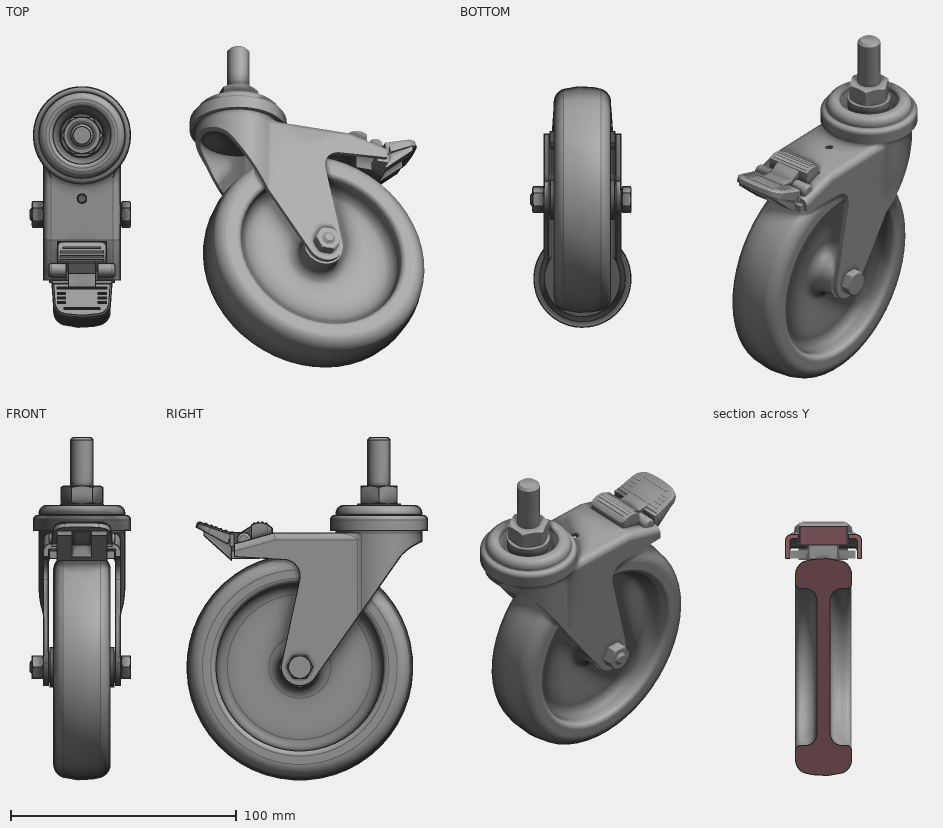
import cadquery as cq
import math


AXLE_Y = -35.0

WHEEL_RADIUS = 50.0
WHEEL_HALF_WIDTH = 12.5
CROWN_HALF_WIDTH = 8.3
SHOULDER_RADIUS = 48.8
TREAD_SIDE_RADIUS = 43.1
RIM_LIP_RADIUS = 39.4
RIM_INNER_RADIUS = 37.1
WEB_FILLET = 5.0
WEB_HALF_WIDTH = 3.0
TREAD_CORNER_MID = (11.3, 46.6)
HUB_RADIUS = 17.45 / 2
HUB_HALF_WIDTH = 14.2
SPACER_RADIUS = 13.45 / 2
WHEEL_BORE = 6.1

FORK_HALF_WIDTH = 17.0
SHEET = 2.2
FORK_INNER_HALF = FORK_HALF_WIDTH - SHEET
FORK_TOP = 59.4
BEND_RADIUS = 3.2
BEND_Y = -46.3
NOSE_SLOPE = math.radians(15.4)
NOSE_END_Y = -64.0
NOSE_BOTTOM = 48.9
LEG_END_RADIUS = 8.2
NOTCH_CORNER = (-33.2, 47.1)
NOTCH_FILLET = 7.4
BACK_RADIUS = 19.0
BACK_BLEND_RADIUS = 4.4
BACK_LIP_Z = 55.6
BACK_CURVE_MID = (14.7, 53.4)
BACK_CURVE_END = (9.9, 49.5)
FORK_AXLE_HOLE = 6.4
TOP_HOLE = 3.5
TOP_HOLE_Y = -28.0
TOP_HOLE_CHAMFER = 0.35

FLANGE_RADIUS = 21.5
FLANGE_BOTTOM = 60.5
FLANGE_EDGE_Z = 65.1
FLANGE_TOP = 67.1
FLANGE_ROUND = 2.0
CAP_RADIUS = 19.0
CAP_TOP = 71.5
CAP_FLAT_RADIUS = 16.0
CAP_ARC_MID = (18.1, 70.3)
NECK_GROOVE = 0.5
CUP_FLOOR_Z = 67.0
CUP_FLOOR_RADIUS = 9.9
CUP_RIM_RADIUS = 12.75
CUP_FLAT_RADIUS = 14.5

STEM_RADIUS = 5.0
STEM_TOP = 101.66
STEM_CHAMFER = 1.1
STEM_COLLAR_RADIUS = 18.9 / 2
HEX_FLATS = 16.0
HEX_BOTTOM = 72.2
HEX_TOP = 80.1

BOLT_RADIUS = 3.0
BOLT_TIP_RADIUS = 3.5 / 2
BOLT_TIP_X = -23.0
BOLT_TIP_CONE = 0.95
BOLT_HEX_FLATS = 10.0
NUT_OUTER_X = -22.0
HEAD_OUTER_X = 21.5
HEAD_FACE = 0.5
HEAD_FACE_RADIUS = 8.4 / 2

KNUCKLE_Y = -59.7
KNUCKLE_Z = 56.3
KNUCKLE_RADIUS = 3.1
KNUCKLE_INNER_X = 7.0
KNUCKLE_OUTER_X = 14.6
KNUCKLE_ROUND = 1.2

CLEARANCE = 0.2
GRIP_HALF_WIDTH = 10.7
GRIP_BACK_Y = -47.2
GRIP_FRONT_Y = -56.4
PEDAL_NECK_HALF_WIDTH = 6.0
LEVER_HALF_WIDTH = 13.2
LEVER_BLOCK_HALF_WIDTH = 11.0
LEVER_POCKET_HALF_WIDTH = 4.3
LEVER_START = (-65.2, 59.2)
LEVER_SLOPE = math.radians(19.5)
LEVER_LENGTH = 15.8
LEVER_THICKNESS = 2.6
LEVER_ROOT_THICKNESS = 5.0
LEVER_CORNER = 6.0
PEDAL_BOTTOM = 47.2
NECK_BOTTOM = 48.0
CROSSBAR_HALF_WIDTH = 14.3
CROSSBAR_TOP = 51.4
GRIP_CORNER = 2.0
GRIP_BOTTOM = 54.0
GRIP_SHOULDER_Z = 61.3
GRIP_CREST = (-51.8, 63.8)
GRIP_FRONT_Z = 62.8
GRIP_RIB_COUNT = 4
GRIP_FIRST_RIB_Y = -49.8
GRIP_RIB_PITCH = 1.8
GRIP_RIB_DROPS = (0.5, 0.0, 0.1, 0.5)
NECK_SADDLE_Y = -61.2
NECK_SADDLE_Z = 59.4
NECK_END_Y = -67.1
PEDAL_BACK_Y = -53.0
LEVER_FRONT_HALF_WIDTH = 12.3
LEVER_NOSE_BULGE = 1.6
LEVER_EDGE_CHAMFER = 0.7
LEVER_LONG_RIBS = ((2.6, 11.0), (12.1, 8.0))
LEVER_SHORT_RIB_DISTANCES = (5.1, 7.25, 9.4)
LEVER_SHORT_RIB_INNER = 7.2
LEVER_SHORT_RIB_OUTER = 10.8
LEVER_TIP_Y = -77.5
LEVER_TIP_Z = 58.3
LEVER_ROOT_HALF_WIDTH = 13.2
LEVER_ROOT_BOTTOM = 53.3
POCKET_SILL = 1.6
POCKET_TOP = 54.0
CROSSBAR_BACK_Y = -60.0
RIB_END_GAP = 1.2
RIB_WIDTH = 0.7
RIB_HEIGHT = 0.4

BIG = 200.0


def slab(outline, half_width):
    """Extrude a closed YZ outline symmetrically about X = 0."""
    return outline.close().extrude(half_width, both=True)


def yz_polygon(points, half_width):
    return slab(cq.Workplane("YZ").polyline(points), half_width)


def x_cylinder(radius, x_start, x_end, y, z):
    return (
        cq.Workplane("YZ", origin=(x_start, y, z)).circle(radius).extrude(x_end - x_start)
    )


def box_between(low, high):
    size = [b - a for a, b in zip(low, high)]
    return cq.Workplane("XY").box(*size, centered=False).translate(low)


def hex_prism(plane, origin, flats, length):
    """Hexagonal prism with lightly coned corners at both ends."""
    corners = flats / math.cos(math.pi / 6)
    cone_limit = (
        cq.Workplane(plane, origin=origin)
        .circle(corners / 2)
        .extrude(length)
        .faces("<Z or >Z" if plane == "XY" else "<X or >X")
        .chamfer((corners - flats) / 4, (corners - flats) / 2)
    )
    prism = cq.Workplane(plane, origin=origin).polygon(6, corners).extrude(length)
    return prism.intersect(cone_limit)


def tangent_point(point, side):
    """Point where a line from `point` touches the leg's end circle; side is +1 or -1."""
    dy = point[0] - AXLE_Y
    dz = point[1]
    turn = side * math.acos(LEG_END_RADIUS / math.hypot(dy, dz))
    angle = math.atan2(dz, dy) + turn
    return (AXLE_Y + LEG_END_RADIUS * math.cos(angle), LEG_END_RADIUS * math.sin(angle))


def fork_block(half_width, back_radius, top_drop, bend_radius, nose_y):
    """Solid block with the fork's plan and top, reaching below the axle."""
    top = FORK_TOP - top_drop
    nose_top = top - (BEND_Y - nose_y) * math.tan(NOSE_SLOPE)
    bottom = -LEG_END_RADIUS * 2
    sides = yz_polygon(
        [(0, bottom), (0, top), (BEND_Y, top), (nose_y, nose_top), (nose_y, bottom)], half_width
    )
    sides = sides.edges(">X or <X").edges("not(|Z)").edges("not <Z").fillet(bend_radius)
    back = cq.Workplane("XY").workplane(offset=bottom).circle(back_radius).extrude(top - bottom)
    return sides.union(back)


def blend_back(block):
    """Blend the round back into the flat sides of the outer block."""
    corner_y = -math.sqrt(BACK_RADIUS**2 - FORK_HALF_WIDTH**2)
    near_corners = cq.selectors.BoxSelector(
        (-BACK_RADIUS, corner_y - CLEARANCE, -BIG), (BACK_RADIUS, corner_y + CLEARANCE, BIG)
    )
    return block.edges("|Z").edges(near_corners).fillet(BACK_BLEND_RADIUS)


def fork_side_limit():
    """Side silhouette of the fork: sloped back, round leg end and wheel notch."""
    back_tangent = tangent_point(BACK_CURVE_END, -1)
    front_tangent = tangent_point(NOTCH_CORNER, 1)
    outline = (
        cq.Workplane("YZ")
        .moveTo(BACK_RADIUS, FLANGE_BOTTOM)
        .lineTo(BACK_RADIUS, BACK_LIP_Z)
        .threePointArc(BACK_CURVE_MID, BACK_CURVE_END)
        .lineTo(*back_tangent)
        .threePointArc((AXLE_Y, -LEG_END_RADIUS), front_tangent)
        .lineTo(*NOTCH_CORNER)
        .lineTo(NOSE_END_Y, NOSE_BOTTOM)
        .lineTo(NOSE_END_Y, FLANGE_BOTTOM)
    )
    solid = slab(outline, BACK_RADIUS)
    corner = cq.selectors.NearestToPointSelector((0, *NOTCH_CORNER))
    return solid.edges("|X").edges(corner).fillet(NOTCH_FILLET)


def swivel_head():
    """Revolved flange, cap and hollow cup above the fork."""
    diagonal = math.sqrt(0.5)
    rim_drop = CUP_FLAT_RADIUS - CUP_RIM_RADIUS
    profile = (
        cq.Workplane("XZ")
        .moveTo(0, FORK_TOP)
        .lineTo(BACK_RADIUS, FORK_TOP)
        .lineTo(BACK_RADIUS, FLANGE_BOTTOM)
        .lineTo(FLANGE_RADIUS, FLANGE_BOTTOM)
        .lineTo(FLANGE_RADIUS, FLANGE_EDGE_Z)
        .threePointArc(
            (FLANGE_RADIUS - FLANGE_ROUND * (1 - diagonal), FLANGE_EDGE_Z + FLANGE_ROUND * diagonal),
            (FLANGE_RADIUS - FLANGE_ROUND, FLANGE_TOP),
        )
        .lineTo(CAP_RADIUS - NECK_GROOVE, FLANGE_TOP)
        .lineTo(CAP_RADIUS - NECK_GROOVE, FLANGE_TOP + NECK_GROOVE)
        .lineTo(CAP_RADIUS, FLANGE_TOP + NECK_GROOVE)
        .threePointArc(CAP_ARC_MID, (CAP_FLAT_RADIUS, CAP_TOP))
        .lineTo(CUP_FLAT_RADIUS, CAP_TOP)
        .threePointArc(
            (CUP_FLAT_RADIUS - rim_drop * diagonal, CAP_TOP - rim_drop * (1 - diagonal)),
            (CUP_RIM_RADIUS, CAP_TOP - rim_drop),
        )
        .lineTo(CUP_FLOOR_RADIUS, CUP_FLOOR_Z)
        .lineTo(0, CUP_FLOOR_Z)
    )
    return profile.close().revolve(360, (0, 0), (0, 1))


def pedal_opening():
    """Opening in the sloped nose for the pedal's grip and neck."""
    grip_half = GRIP_HALF_WIDTH + CLEARANCE
    grip_gap = box_between(
        (-grip_half, GRIP_FRONT_Y - CLEARANCE, NOSE_BOTTOM),
        (grip_half, GRIP_BACK_Y + CLEARANCE, FLANGE_BOTTOM),
    )
    neck_gap = box_between(
        (-KNUCKLE_INNER_X, NOSE_END_Y - SHEET, NOSE_BOTTOM),
        (KNUCKLE_INNER_X, GRIP_BACK_Y, FLANGE_BOTTOM),
    )
    return grip_gap.union(neck_gap)


def knuckle(side):
    """Rounded pivot knuckle pressed up from the nose on one side."""
    barrel = x_cylinder(KNUCKLE_RADIUS, KNUCKLE_INNER_X, KNUCKLE_OUTER_X, KNUCKLE_Y, KNUCKLE_Z)
    barrel = barrel.faces(">X").edges().fillet(KNUCKLE_ROUND)
    return barrel if side > 0 else barrel.mirror("YZ")


def chamfered_top_hole():
    """Hole through the fork's top sheet with a small chamfer at its mouth."""
    radius = TOP_HOLE / 2
    hole = cq.Workplane("XY", origin=(0, TOP_HOLE_Y, FORK_TOP)).circle(radius).extrude(-2 * SHEET)
    mouth_base = cq.Vector(0, TOP_HOLE_Y, FORK_TOP - TOP_HOLE_CHAMFER)
    mouth = cq.Solid.makeCone(radius, radius + TOP_HOLE_CHAMFER, TOP_HOLE_CHAMFER, mouth_base)
    return hole.union(mouth)


def make_housing():
    outer = fork_block(FORK_HALF_WIDTH, BACK_RADIUS, 0, BEND_RADIUS, NOSE_END_Y)
    inner = fork_block(
        FORK_INNER_HALF, BACK_RADIUS - SHEET, SHEET, BEND_RADIUS - SHEET, NOSE_END_Y - SHEET
    )
    fork = blend_back(outer).intersect(fork_side_limit()).cut(inner)
    fork = fork.cut(pedal_opening())
    fork = fork.cut(x_cylinder(FORK_AXLE_HOLE / 2, -BIG, BIG, AXLE_Y, 0))
    fork = fork.cut(chamfered_top_hole())
    for side in (-1, 1):
        fork = fork.union(knuckle(side))
    return fork.union(swivel_head())


def make_stem():
    collar = (
        cq.Workplane("XY", origin=(0, 0, CUP_FLOOR_Z))
        .circle(STEM_COLLAR_RADIUS)
        .extrude(HEX_BOTTOM - CUP_FLOOR_Z)
    )
    rod = (
        cq.Workplane("XY", origin=(0, 0, HEX_TOP))
        .circle(STEM_RADIUS)
        .extrude(STEM_TOP - HEX_TOP)
        .faces(">Z")
        .chamfer(STEM_CHAMFER)
    )
    hexagon = hex_prism("XY", (0, 0, HEX_BOTTOM), HEX_FLATS, HEX_TOP - HEX_BOTTOM)
    return collar.union(hexagon).union(rod)


def wheel_side(outline, side):
    """Add one side of the wheel's section, from the bore outwards (-1) or back to the bore (+1)."""
    diagonal = math.sqrt(0.5)
    lip_round = RIM_LIP_RADIUS - RIM_INNER_RADIUS
    fillet_mid = WEB_FILLET * (1 - diagonal)
    lip_x = WHEEL_HALF_WIDTH - lip_round
    lip_mid = (lip_x + lip_round * diagonal, RIM_LIP_RADIUS - lip_round * diagonal)
    web_x = WEB_HALF_WIDTH
    stations = [
        (None, (CROWN_HALF_WIDTH, SHOULDER_RADIUS)),
        (TREAD_CORNER_MID, (WHEEL_HALF_WIDTH, TREAD_SIDE_RADIUS)),
        (None, (WHEEL_HALF_WIDTH, RIM_LIP_RADIUS)),
        (lip_mid, (lip_x, RIM_INNER_RADIUS)),
        (None, (web_x + WEB_FILLET, RIM_INNER_RADIUS)),
        ((web_x + fillet_mid, RIM_INNER_RADIUS - fillet_mid), (web_x, RIM_INNER_RADIUS - WEB_FILLET)),
        (None, (web_x, HUB_RADIUS + WEB_FILLET)),
        ((web_x + fillet_mid, HUB_RADIUS + fillet_mid), (web_x + WEB_FILLET, HUB_RADIUS)),
        (None, (HUB_HALF_WIDTH, HUB_RADIUS)),
        (None, (HUB_HALF_WIDTH, SPACER_RADIUS)),
        (None, (FORK_INNER_HALF, SPACER_RADIUS)),
        (None, (FORK_INNER_HALF, WHEEL_BORE / 2)),
    ]
    ends = [end for _, end in stations]
    middles = [middle for middle, _ in stations[1:]]
    if side < 0:
        ends.reverse()
        middles.reverse()
    for middle, end in zip(middles, ends[1:]):
        target = (side * end[0], end[1])
        if middle is None:
            outline = outline.lineTo(*target)
        else:
            outline = outline.threePointArc((side * middle[0], middle[1]), target)
    return outline


def make_wheel():
    """Tread, rim, web and hub in one section revolved about the axle."""
    outline = cq.Workplane("XZ").moveTo(-FORK_INNER_HALF, WHEEL_BORE / 2)
    outline = wheel_side(outline, -1)
    outline = outline.threePointArc((0, WHEEL_RADIUS), (CROWN_HALF_WIDTH, SHOULDER_RADIUS))
    outline = wheel_side(outline, 1)
    wheel = outline.close().revolve(360, (0, 0), (1, 0))
    return wheel.translate((0, AXLE_Y, 0))


def make_axle():
    rod = x_cylinder(BOLT_RADIUS, BOLT_TIP_X, FORK_HALF_WIDTH, AXLE_Y, 0)
    rod = rod.faces("<X").chamfer(BOLT_TIP_CONE, BOLT_RADIUS - BOLT_TIP_RADIUS)
    face_end = FORK_HALF_WIDTH + HEAD_FACE
    face = x_cylinder(HEAD_FACE_RADIUS, FORK_HALF_WIDTH, face_end, AXLE_Y, 0)
    head = hex_prism("YZ", (face_end, AXLE_Y, 0), BOLT_HEX_FLATS, HEAD_OUTER_X - face_end)
    nut_length = -FORK_HALF_WIDTH - NUT_OUTER_X
    nut = hex_prism("YZ", (NUT_OUTER_X, AXLE_Y, 0), BOLT_HEX_FLATS, nut_length)
    return rod.union(face).union(head).union(nut)


def pedal_grip():
    """Ribbed rear pad that is pressed to release the brake."""
    outline = (
        cq.Workplane("YZ")
        .moveTo(GRIP_BACK_Y, GRIP_BOTTOM)
        .lineTo(GRIP_BACK_Y, GRIP_SHOULDER_Z)
        .threePointArc(GRIP_CREST, (GRIP_FRONT_Y, GRIP_FRONT_Z))
        .lineTo(GRIP_FRONT_Y, GRIP_BOTTOM)
    )
    grip = slab(outline, GRIP_HALF_WIDTH).edges("|Z and >Y").fillet(GRIP_CORNER)
    for index in range(GRIP_RIB_COUNT):
        y = GRIP_FIRST_RIB_Y - index * GRIP_RIB_PITCH
        rib_half = GRIP_HALF_WIDTH - (RIB_END_GAP if index else 2 * RIB_END_GAP)
        rib = box_between(
            (-rib_half, y - RIB_WIDTH / 2, GRIP_BOTTOM),
            (rib_half, y + RIB_WIDTH / 2, GRIP_CREST[1] + RIB_HEIGHT - GRIP_RIB_DROPS[index]),
        )
        grip = grip.union(rib)
    return grip


def plate_top(y):
    """Height of the foot plate's upper face at a given Y."""
    return LEVER_START[1] + (LEVER_START[0] - y) * math.tan(LEVER_SLOPE)


def plate_underside(y):
    """Height of the thin plate's lower face at a given Y."""
    return plate_top(y) - LEVER_THICKNESS / math.cos(LEVER_SLOPE)


def pedal_neck():
    """Saddle through the nose, joining the grip to the lever."""
    points = [
        (PEDAL_BACK_Y, NECK_BOTTOM),
        (PEDAL_BACK_Y, KNUCKLE_Z),
        (GRIP_FRONT_Y, KNUCKLE_Z),
        (GRIP_FRONT_Y, GRIP_FRONT_Z - RIB_HEIGHT),
        (NECK_SADDLE_Y, NECK_SADDLE_Z),
        (NECK_END_Y, plate_top(NECK_END_Y)),
        (NECK_END_Y, plate_underside(NECK_END_Y)),
        (LEVER_START[0], plate_underside(LEVER_START[0])),
        (LEVER_START[0], NECK_BOTTOM),
    ]
    return yz_polygon(points, PEDAL_NECK_HALF_WIDTH)


def lever_plate():
    """Sloped foot plate with a rounded front edge and raised ribs, built flat then tilted."""
    side_length = LEVER_LENGTH - LEVER_NOSE_BULGE
    plate = (
        cq.Workplane("XY")
        .moveTo(LEVER_HALF_WIDTH, 0)
        .lineTo(LEVER_FRONT_HALF_WIDTH, -side_length)
        .threePointArc((0, -LEVER_LENGTH), (-LEVER_FRONT_HALF_WIDTH, -side_length))
        .lineTo(-LEVER_HALF_WIDTH, 0)
        .close()
        .extrude(-LEVER_ROOT_THICKNESS)
        .edges("|Z")
        .edges("<Y")
        .fillet(LEVER_CORNER)
        .faces(">Z")
        .edges()
        .chamfer(LEVER_EDGE_CHAMFER)
    )
    taper = [(0, 0), (0, -LEVER_ROOT_THICKNESS), (-LEVER_LENGTH, -LEVER_THICKNESS), (-LEVER_LENGTH, 0)]
    plate = plate.intersect(yz_polygon(taper, LEVER_HALF_WIDTH))
    for distance, half_width in LEVER_LONG_RIBS:
        plate = plate.union(lever_rib(-half_width, half_width, distance))
    for distance in LEVER_SHORT_RIB_DISTANCES:
        for side in (-1, 1):
            ends = sorted((side * LEVER_SHORT_RIB_INNER, side * LEVER_SHORT_RIB_OUTER))
            plate = plate.union(lever_rib(*ends, distance))
    tilt = -math.degrees(LEVER_SLOPE)
    return plate.rotate((0, 0, 0), (1, 0, 0), tilt).translate((0, *LEVER_START))


def lever_rib(x_start, x_end, distance):
    return box_between(
        (x_start, -distance - RIB_WIDTH / 2, -LEVER_THICKNESS / 2),
        (x_end, -distance + RIB_WIDTH / 2, RIB_HEIGHT),
    )


def make_lever():
    """Foot plate on a wedge, with an open pocket in the middle of the underside."""
    wedge = yz_polygon(
        [
            (LEVER_START[0], PEDAL_BOTTOM),
            (LEVER_START[0], plate_underside(LEVER_START[0])),
            (LEVER_TIP_Y, plate_underside(LEVER_TIP_Y)),
            (LEVER_TIP_Y, LEVER_TIP_Z),
        ],
        LEVER_BLOCK_HALF_WIDTH,
    )
    pocket = yz_polygon(
        [
            (LEVER_START[0] - RIB_WIDTH, PEDAL_BOTTOM + POCKET_SILL),
            (LEVER_START[0] - RIB_WIDTH, POCKET_TOP),
            (LEVER_TIP_Y, plate_underside(LEVER_TIP_Y)),
            (LEVER_TIP_Y, PEDAL_BOTTOM + POCKET_SILL),
        ],
        LEVER_POCKET_HALF_WIDTH,
    )
    return wedge.union(lever_plate()).cut(pocket)


def pedal_crossbar():
    """Bar below the nose that carries the lever between the fork sides."""
    return box_between(
        (-CROSSBAR_HALF_WIDTH, LEVER_START[0], NECK_BOTTOM),
        (CROSSBAR_HALF_WIDTH, CROSSBAR_BACK_Y, CROSSBAR_TOP),
    )


def lever_root():
    """Upright block in front of the nose, under the rear edge of the foot plate."""
    return box_between(
        (-LEVER_ROOT_HALF_WIDTH, LEVER_START[0] - RIB_WIDTH, LEVER_ROOT_BOTTOM),
        (LEVER_ROOT_HALF_WIDTH, NOSE_END_Y - CLEARANCE, LEVER_START[1] - RIB_HEIGHT),
    )


def make_pedal():
    pedal = pedal_grip().union(pedal_neck()).union(pedal_crossbar()).union(lever_root())
    return pedal.union(make_lever())


housing = make_housing()
stem = make_stem()
wheel = make_wheel()
axle = make_axle()
pedal = make_pedal()
result = cq.Compound.makeCompound(
    [housing.val(), stem.val(), wheel.val(), axle.val(), pedal.val()]
)